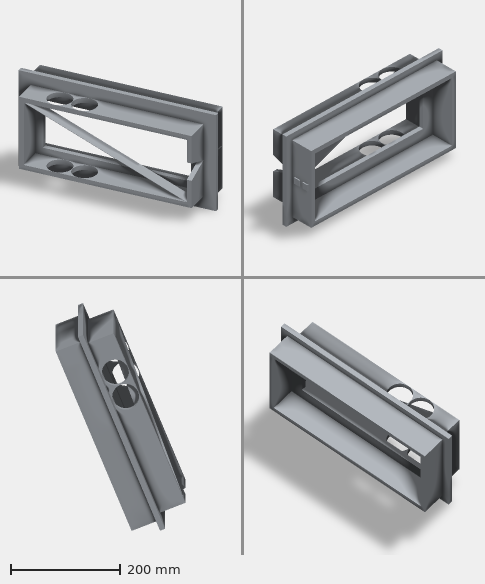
import cadquery as cq
import math

flange_width, flange_height, flange_depth = 400.0, 200.0, 10.0
opening_width, opening_height = 300.0, 100.0
frame_depth = 50.0
frame_wall = 10.0

front_width, front_height = 350.0, 150.0

rear_width = front_width + 2 * frame_wall
rear_height = front_height + 2 * frame_wall

hole_diameter = 49.0
hole_pitch = 50.0
hole_count = 2
first_hole_x = -104.0

notch_height = 36.0

divider_thickness = 1.0
divider_depth = frame_depth / 2

pad_side = 13.5
pad_height = 2.5
pad_pitch = 21.5

front_face_y = -frame_depth
cavity_width = front_width - 2 * frame_wall
cavity_height = front_height - 2 * frame_wall


def block(width, height, y_start, depth):
    """Box centred in X and Z that runs from y_start toward +Y."""
    return cq.Workplane("XY").box(width, depth, height).translate((0, y_start + depth / 2, 0))


def frame(width, height, inner_width, inner_height, y_start, depth):
    """Rectangular ring, open along Y."""
    return block(width, height, y_start, depth).cut(block(inner_width, inner_height, y_start, depth))


def hole_pair():
    """Two vertical cylinders that pass through the whole front frame."""
    centers = [(first_hole_x + i * hole_pitch, front_face_y + frame_depth / 2) for i in range(hole_count)]
    return (
        cq.Workplane("XY", origin=(0, 0, -front_height / 2))
        .pushPoints(centers)
        .circle(hole_diameter / 2)
        .extrude(front_height)
    )


def notch():
    """Triangular prism along X, widest at the front face."""
    return (
        cq.Workplane("YZ", origin=(cavity_width / 2, 0, 0))
        .polyline([(front_face_y, -notch_height / 2), (front_face_y, notch_height / 2), (0, 0)])
        .close()
        .extrude(frame_wall)
    )


def divider():
    """Thin plate from the upper -X corner to the lower +X corner of the front cavity."""
    diagonal = math.hypot(front_width, front_height)
    tilt = math.degrees(math.atan2(cavity_height, cavity_width))
    plate = block(diagonal, divider_thickness, front_face_y, divider_depth)
    plate = plate.rotate((0, 0, 0), (0, 1, 0), tilt)
    return plate.intersect(block(cavity_width, cavity_height, front_face_y, divider_depth))


def pads():
    """Two low square pads in a row along Y."""
    middle_y = flange_depth + frame_depth / 2
    return (
        cq.Workplane("YZ", origin=(rear_width / 2, 0, 0))
        .pushPoints([(middle_y - pad_pitch / 2, 0), (middle_y + pad_pitch / 2, 0)])
        .rect(pad_side, pad_side)
        .extrude(pad_height)
    )


flange = frame(flange_width, flange_height, opening_width, opening_height, 0, flange_depth)
front_frame = frame(front_width, front_height, cavity_width, cavity_height, front_face_y, frame_depth)
rear_frame = frame(rear_width, rear_height, front_width, front_height, flange_depth, frame_depth)

front_frame = front_frame.cut(hole_pair()).cut(notch())
result = flange.union(front_frame).union(rear_frame).union(divider()).union(pads())